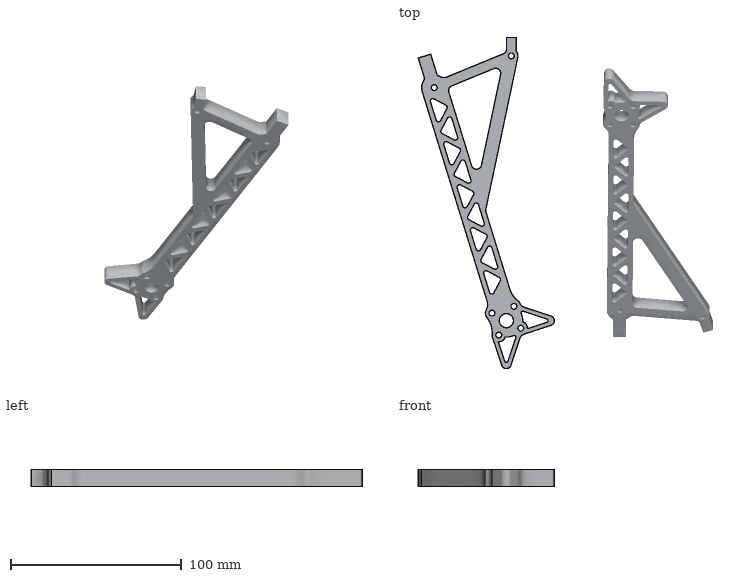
import cadquery as cq
import math

THICKNESS = 10.0
ARM_TILT = 17.2
ARM_ANGLE = 90 + ARM_TILT

ARM_WIDTH = 15.0
ARM_LENGTH = 142.8
TRUSS_DEPTH = 9.0
TRUSS_PITCH = 13.2
TRUSS_COUNT = 9
TRUSS_FIRST = 24.5
TRUSS_RADIUS = 1.4

HOLE_DIAMETER = 3.3
BOSS_DIAMETER = 8.0
FORK_HOLE = (3.0, 155.0)
LEG_LEAN = 11.9
LEG_WIDTH = 8.0
BAR_WIDTH = 6.0
ARM_STUB_WIDTH = 7.8
ARM_STUB_END = 162.2
FORK_STUB_WIDTH = 5.8
FORK_STUB_END = 166.0
WINDOW_RADIUS = 3.0
ARM_STUB_LEFT_FILLET = 3.0
ARM_STUB_RIGHT_FILLET = 4.9
FORK_STUB_FILLET = 2.5

SHAFT_DIAMETER = 8.1
BOLT_CIRCLE_RADIUS = 9.5
BOLT_COUNT = 4
BOLT_TURN = 45
ARM_LEFT_FILLET = 6.0
ARM_RIGHT_FILLET = 14.5
FLANK_RADIUS = 15.0
SPIKE_FILLET = 3.9

SPIKE_ANGLES = (0, -90)
SPIKE_CENTRE = 25.2
SPIKE_TIP_RADIUS = 3.0
SPIKE_WALL = 2.5
SPIKE_POCKET_START = 9.7
SPIKE_POCKET_RADIUS = 1.0


def polar(radius, angle, start=(0, 0)):
    """Point at a distance and angle (degrees) from a start point."""
    turn = math.radians(angle)
    return start[0] + radius * math.cos(turn), start[1] + radius * math.sin(turn)


def rail_point(start, angle, along, side):
    """Point a distance along a line and a distance to its left."""
    return polar(side, angle + 90, polar(along, angle, start))


def crossing(start_a, angle_a, side_a, start_b, angle_b, side_b):
    """Point where two lines cross, each moved sideways to its left."""
    ax, ay = rail_point(start_a, angle_a, 0, side_a)
    bx, by = rail_point(start_b, angle_b, 0, side_b)
    dx, dy = polar(1, angle_b)
    turn = math.radians(angle_b - angle_a)
    along = ((bx - ax) * dy - (by - ay) * dx) / math.sin(turn)
    return polar(along, angle_a, (ax, ay))


def disc(centre, radius):
    return cq.Workplane("XY").center(*centre).circle(radius).extrude(THICKNESS)


def prism(points):
    return cq.Workplane("XY").polyline(points).close().extrude(THICKNESS)


def strip(start, angle, length, width):
    """Straight bar centred on a line."""
    ends = ((0, width / 2), (length, width / 2), (length, -width / 2), (0, -width / 2))
    return prism([rail_point(start, angle, along, side) for along, side in ends])


def turned(shape, angle):
    return shape.rotate((0, 0, 0), (0, 0, 1), angle)


def round_corner(body, point, radius):
    """Fillet the upright edge at a point of the outline."""
    place = cq.NearestToPointSelector((point[0], point[1], THICKNESS / 2))
    return body.edges("|Z").edges(place).fillet(radius)


hub_origin = (0, 0)
arm_half_width = ARM_WIDTH / 2
boss_radius = BOSS_DIAMETER / 2
arm_hole = polar(ARM_LENGTH, ARM_ANGLE)
bolt_angles = [ARM_TILT + BOLT_TURN + 360 * i / BOLT_COUNT for i in range(BOLT_COUNT)]
bolts = [polar(BOLT_CIRCLE_RADIUS, angle) for angle in bolt_angles]
leg_angle = -90 - LEG_LEAN
bar_length = math.dist(arm_hole, FORK_HOLE)
bar_angle = math.degrees(math.atan2(FORK_HOLE[1] - arm_hole[1], FORK_HOLE[0] - arm_hole[0]))
leg_foot = crossing(FORK_HOLE, leg_angle, 0, hub_origin, ARM_ANGLE, 0)

spike_tip = (SPIKE_CENTRE, 0)
lower_bolt = bolts[3]
tip_distance = math.dist(lower_bolt, spike_tip)
tip_direction = math.degrees(math.atan2(-lower_bolt[1], SPIKE_CENTRE - lower_bolt[0]))
tangent_turn = math.degrees(math.acos((boss_radius - SPIKE_TIP_RADIUS) / tip_distance))
spike_taper = 90 + tip_direction - tangent_turn
spike_offset = SPIKE_TIP_RADIUS + SPIKE_CENTRE * math.sin(math.radians(spike_taper))


def spike():
    normal = 90 - spike_taper
    upper_root = polar(spike_offset, normal)
    upper_end = polar(SPIKE_TIP_RADIUS, normal, spike_tip)
    lower_end = polar(SPIKE_TIP_RADIUS, -normal, spike_tip)
    lower_root = polar(boss_radius, -normal, lower_bolt)
    sides = prism([hub_origin, upper_root, upper_end, lower_end, lower_root])
    return sides.union(disc(spike_tip, SPIKE_TIP_RADIUS))


def spike_pocket():
    """Wedge parallel to the spike sides, kept clear of the hub and the bolt boss."""
    inner_offset = spike_offset - SPIKE_WALL
    apex = (inner_offset / math.sin(math.radians(spike_taper)), 0)
    root_height = inner_offset / math.cos(math.radians(spike_taper))
    wedge = prism([apex, (0, root_height), (0, -root_height)])
    wedge = round_corner(wedge, apex, SPIKE_POCKET_RADIUS)
    pocket = wedge.cut(disc(hub_origin, SPIKE_POCKET_START)).cut(disc(lower_bolt, boss_radius))
    return pocket.edges("|Z and >Y").fillet(SPIKE_POCKET_RADIUS)


def truss_pocket(along, side):
    """Right triangle across the arm with its tip toward one side (+1 right, -1 left)."""
    tip = side * TRUSS_DEPTH / 2
    corners = [(tip, along), (-tip, along + TRUSS_DEPTH), (-tip, along - TRUSS_DEPTH)]
    return turned(prism(corners).edges("|Z").fillet(TRUSS_RADIUS), ARM_TILT)


def forked_end():
    leg_length = math.dist(FORK_HOLE, leg_foot)
    body = strip(hub_origin, ARM_ANGLE, ARM_LENGTH, ARM_WIDTH)
    body = body.union(disc(arm_hole, arm_half_width))
    arm_stub_length = ARM_STUB_END - ARM_LENGTH
    body = body.union(strip(arm_hole, ARM_ANGLE, arm_stub_length, ARM_STUB_WIDTH))
    body = body.union(strip(arm_hole, bar_angle, bar_length, BAR_WIDTH))
    body = body.union(strip(FORK_HOLE, leg_angle, leg_length, LEG_WIDTH))
    fork_stub_length = FORK_STUB_END - FORK_HOLE[1]
    body = body.union(strip(FORK_HOLE, 90, fork_stub_length, FORK_STUB_WIDTH))

    arm_side = (hub_origin, ARM_ANGLE, -arm_half_width)
    bar_top = (arm_hole, bar_angle, BAR_WIDTH / 2)
    bar_bottom = (arm_hole, bar_angle, -BAR_WIDTH / 2)
    leg_side = (FORK_HOLE, leg_angle, -LEG_WIDTH / 2)
    for one, other in ((arm_side, bar_bottom), (bar_bottom, leg_side), (leg_side, arm_side)):
        body = round_corner(body, crossing(*one, *other), WINDOW_RADIUS)
    stub_side = (hub_origin, ARM_ANGLE, -ARM_STUB_WIDTH / 2)
    body = round_corner(body, crossing(*stub_side, *bar_top), ARM_STUB_RIGHT_FILLET)
    stub_root = ARM_LENGTH + math.sqrt(arm_half_width**2 - (ARM_STUB_WIDTH / 2) ** 2)
    left_corner = rail_point(hub_origin, ARM_ANGLE, stub_root, ARM_STUB_WIDTH / 2)
    body = round_corner(body, left_corner, ARM_STUB_LEFT_FILLET)
    fork_stub_side = (FORK_HOLE, 90, FORK_STUB_WIDTH / 2)
    body = round_corner(body, crossing(*fork_stub_side, *bar_top), FORK_STUB_FILLET)
    return body.union(disc(FORK_HOLE, boss_radius))


def hub_flank():
    """Web between the two bosses away from the spikes, hollowed by an arc tangent to both."""
    upper, lower = bolts[1], bolts[2]
    half_span = math.dist(upper, lower) / 2
    middle_angle = (bolt_angles[1] + bolt_angles[2]) / 2
    middle_distance = math.sqrt(BOLT_CIRCLE_RADIUS**2 - half_span**2)
    hollow_distance = middle_distance + math.sqrt((FLANK_RADIUS + boss_radius) ** 2 - half_span**2)
    hollow_centre = polar(hollow_distance, middle_angle)
    return prism([hub_origin, upper, hollow_centre, lower]).cut(disc(hollow_centre, FLANK_RADIUS))


def add_hub(body):
    body = body.union(prism(bolts)).union(hub_flank())
    for bolt in bolts:
        body = body.union(disc(bolt, boss_radius))
    for angle in SPIKE_ANGLES:
        body = body.union(turned(spike(), angle))

    bolt_side = BOLT_CIRCLE_RADIUS * math.sin(math.radians(BOLT_TURN))
    arm_end = bolt_side + math.sqrt(boss_radius**2 - (arm_half_width - bolt_side) ** 2)
    for side, radius in ((arm_half_width, ARM_LEFT_FILLET), (-arm_half_width, ARM_RIGHT_FILLET)):
        body = round_corner(body, rail_point(hub_origin, ARM_ANGLE, arm_end, side), radius)

    normal = 90 - spike_taper
    bolt_height = BOLT_CIRCLE_RADIUS * math.cos(math.radians(bolt_angles[0] - normal))
    bolt_along = BOLT_CIRCLE_RADIUS * math.sin(math.radians(normal - bolt_angles[0]))
    corner_along = bolt_along + math.sqrt(boss_radius**2 - (spike_offset - bolt_height) ** 2)
    for angle in SPIKE_ANGLES:
        corner = rail_point(hub_origin, angle - spike_taper, corner_along, spike_offset)
        body = round_corner(body, corner, SPIKE_FILLET)
    return body


def cut_openings(body):
    for i in range(TRUSS_COUNT):
        body = body.cut(truss_pocket(TRUSS_FIRST + i * TRUSS_PITCH, (-1) ** i))
    for angle in SPIKE_ANGLES:
        body = body.cut(turned(spike_pocket(), angle))
    for centre in [*bolts, arm_hole, FORK_HOLE]:
        body = body.cut(disc(centre, HOLE_DIAMETER / 2))
    return body.cut(disc(hub_origin, SHAFT_DIAMETER / 2))


result = cut_openings(add_hub(forked_end()))